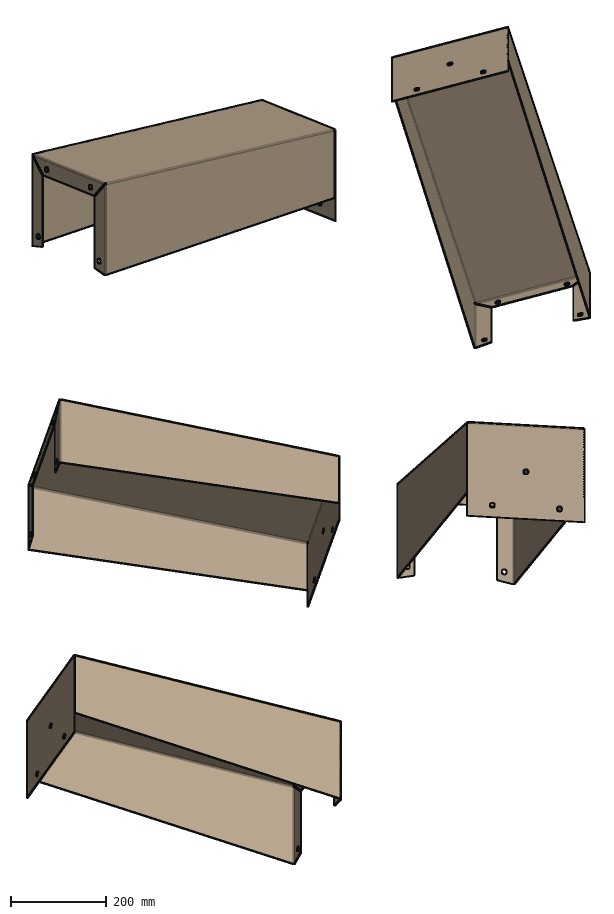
import cadquery as cq
import math

width = 254.0
length = 609.5
height = 203.0

sheet = 2.0
outer_bend = 3.35
inner_bend = outer_bend - sheet

rear_rise = 51.0

seam_gap = 0.5

flange = 38.0
miter_gap = 2.5
foot_rise = 7.0
foot_radius = 3.5

hole_diameter = 11.0
top_hole_x = 75.5
top_hole_drop = 22.0
low_hole_z = 25.5
flange_hole_x = 105.0
rear_hole_x = 72.5

half_width = width / 2
front_y = -length / 2
rear_y = length / 2


def rounded_block(inset, radius):
    """Block with its top edges and front vertical edges rounded, inset from the envelope."""
    block = cq.Workplane("XY").box(
        width - 2 * inset, length - 2 * inset, height - inset, centered=(True, True, False)
    )
    return block.edges(">Z or (|Z and <Y)").fillet(radius)


def front_prism(points, depth):
    """Front-facing outline extruded backwards from the front face."""
    outline = cq.Workplane("XZ", origin=(0, front_y, 0)).polyline(points).close()
    return outline.extrude(-depth)


def holes(positions, y_start, depth):
    """Round holes along Y at the given X, Z positions."""
    plane = cq.Workplane("XZ", origin=(0, y_start, 0))
    return plane.pushPoints(positions).circle(hole_diameter / 2).extrude(-depth)


hood = rounded_block(0, outer_bend).cut(rounded_block(sheet, inner_bend))

slope_cut = (
    cq.Workplane("YZ")
    .polyline([(front_y + outer_bend, 0), (rear_y - sheet, 0), (rear_y - sheet, rear_rise)])
    .close()
    .extrude(half_width, both=True)
)
hood = hood.cut(slope_cut)

for side in (-1, 1):
    bend_x = side * (half_width - outer_bend / 2)
    seam = cq.Workplane("XY").box(outer_bend, seam_gap, height, centered=(True, True, False))
    hood = hood.cut(seam.translate((bend_x, rear_y - sheet - seam_gap / 2, 0)))
    notch = cq.Workplane("XY").box(outer_bend, sheet, outer_bend)
    hood = hood.cut(notch.translate((bend_x, rear_y - sheet / 2, height - outer_bend / 2)))

opening_x = half_width - flange
opening_top = height - flange
opening = front_prism(
    [(-opening_x, 0), (opening_x, 0), (opening_x, opening_top), (-opening_x, opening_top)], sheet
)
hood = hood.cut(opening)

for side in (-1, 1):
    foot_cut = front_prism(
        [(side * (half_width - outer_bend), 0), (side * opening_x, 0), (side * opening_x, foot_rise)],
        sheet,
    )
    hood = hood.cut(foot_cut)
    foot_corner = cq.selectors.NearestToPointSelector((side * opening_x, front_y + sheet / 2, foot_rise))
    hood = hood.edges("|Y").edges(foot_corner).fillet(foot_radius)

    miter_shift = miter_gap / math.sqrt(2)
    miter = front_prism(
        [
            (side * half_width, height - miter_shift),
            (side * half_width, height + miter_shift),
            (side * opening_x, opening_top + miter_shift),
            (side * opening_x, opening_top - miter_shift),
        ],
        outer_bend,
    )
    hood = hood.cut(miter)

front_holes = [(side * top_hole_x, height - top_hole_drop) for side in (-1, 1)]
front_holes += [(side * flange_hole_x, low_hole_z) for side in (-1, 1)]
hood = hood.cut(holes(front_holes, front_y, sheet))

rear_holes = [(side * rear_hole_x, low_hole_z) for side in (-1, 1)]
rear_holes.append((0, height / 2))
hood = hood.cut(holes(rear_holes, rear_y - sheet, sheet))

result = hood